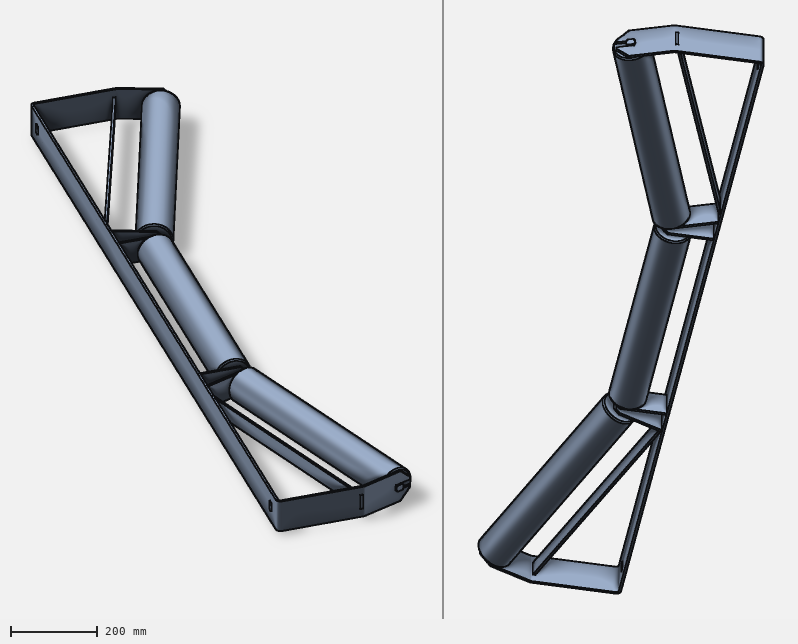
import cadquery as cq
import math

plate_thickness = 6.0

frame_length = 1800.0
frame_height = 81.0
corner_bend_radius = 9.0
end_plate_rise = 210.0
tip_rise = 338.0
tip_chamfer = 27.0
wing_angle = 20.0
mount_hole_width = 18.0
mount_hole_height = 27.0
mount_hole_inset = 50.0

roller_diameter = 88.0
roller_length = 569.0
roller_edge_chamfer = 4.0
shaft_diameter = 22.0
shaft_flat_width = 16.0
shaft_length = 594.0
center_roller_y = 99.0
center_roller_z = -7.0
wing_roller_x = -590.0
wing_roller_y = 207.0
wing_roller_z = -4.3
wing_tilt = 0.7

bracket_leg_x = -295.0
bracket_height = 60.0
bracket_bend_radius = 4.0
bracket_z = -7.0
bracket_tip_chamfer = 15.0
bracket_top_y = 125.0
bracket_top_width = 15.0

brace_height = 38.0
brace_end_y = 205.0
brace_foot_x = -369.0

half_thickness = plate_thickness / 2
wing_slope = math.tan(math.radians(wing_angle))
end_plate_x = half_thickness - frame_length / 2


def bent_plate(points, bend_radius, height):
    """Strip centred on Z = 0 that follows the mid-thickness points, with rounded bends."""
    path = cq.Wire.makePolygon([cq.Vector(x, y, 0) for x, y in points]).fillet(bend_radius)
    section = cq.Plane(origin=path.startPoint(), xDir=(0, 0, 1), normal=path.tangentAt(0))
    return cq.Workplane(section).rect(height, plate_thickness).sweep(cq.Workplane(path))


def tip_envelope(bottom_y, tip_y, height, chamfer):
    """Region over the whole length between bottom_y and tip_y, with both tip corners chamfered."""
    half_height = height / 2
    return (
        cq.Workplane("YZ", origin=(-frame_length / 2, 0, 0))
        .polyline([
            (bottom_y, -half_height),
            (tip_y - chamfer, -half_height),
            (tip_y, chamfer - half_height),
            (tip_y, half_height - chamfer),
            (tip_y - chamfer, half_height),
            (bottom_y, half_height),
        ])
        .close()
        .extrude(frame_length)
    )


def mirrored(body):
    return body.mirror("YZ")


def place_wing(body):
    """Moves a body from the origin, axis along X, onto the left wing roller's axis."""
    return (
        body.rotate((0, 0, 0), (0, 1, 0), wing_tilt)
        .rotate((0, 0, 0), (0, 0, 1), -wing_angle)
        .translate((wing_roller_x, wing_roller_y, wing_roller_z))
    )


def place_center(body):
    return body.translate((0, center_roller_y, center_roller_z))


def centered_cylinder(diameter, length):
    """Cylinder along X, centred on the origin."""
    return cq.Workplane("YZ", origin=(-length / 2, 0, 0)).circle(diameter / 2).extrude(length)


def make_shaft():
    flats = cq.Workplane("XY").box(shaft_length, shaft_diameter, shaft_flat_width)
    round_bar = centered_cylinder(shaft_diameter, shaft_length)
    return round_bar.intersect(flats)


def make_roller():
    """Roller with its flatted shaft ends, centred on the origin with its axis along X."""
    shell = centered_cylinder(roller_diameter, roller_length)
    shell = shell.faces("<X or >X").chamfer(roller_edge_chamfer)
    return shell.union(make_shaft())


def make_notch():
    """Cutter for the shaft seats at both ends, open toward +Y."""
    depth = roller_diameter
    slot = cq.Workplane("XY").box(shaft_length, depth, shaft_flat_width).translate((0, depth / 2, 0))
    return slot.union(make_shaft())


def make_brace():
    """Flat bar from the outer face of the left end plate down to the base."""
    start_x = -frame_length / 2
    slope = math.atan2(brace_end_y - plate_thickness, brace_foot_x - start_x)
    half_rise = half_thickness / math.cos(slope)
    half_run = half_thickness / math.sin(slope)
    return (
        cq.Workplane("XY", origin=(0, 0, -brace_height / 2))
        .polyline([
            (start_x, brace_end_y - half_rise),
            (start_x, brace_end_y + half_rise),
            (brace_foot_x + half_run, plate_thickness),
            (brace_foot_x - half_run, plate_thickness),
        ])
        .close()
        .extrude(brace_height)
    )


def make_bracket():
    """Two-legged left bracket that seats the centre shaft and the inner end of the wing shaft."""
    slant_top_x = bracket_leg_x - bracket_top_width
    foot_y = -plate_thickness
    slant_foot_x = slant_top_x - (bracket_top_y - foot_y) * wing_slope
    bracket = bent_plate([
        (bracket_leg_x, foot_y),
        (bracket_leg_x, bracket_top_y),
        (slant_top_x, bracket_top_y),
        (slant_foot_x, foot_y),
    ], bracket_bend_radius, bracket_height)
    top_y = bracket_top_y + half_thickness
    envelope = tip_envelope(plate_thickness, top_y, bracket_height, bracket_tip_chamfer)
    return bracket.intersect(envelope).translate((0, 0, bracket_z))


def make_frame():
    tip_x = end_plate_x + (tip_rise - end_plate_rise) * wing_slope
    left_points = [
        (tip_x, tip_rise),
        (end_plate_x, end_plate_rise),
        (end_plate_x, half_thickness),
    ]
    right_points = [(-x, y) for x, y in reversed(left_points)]
    frame = bent_plate(left_points + right_points, corner_bend_radius, frame_height)
    frame = frame.intersect(tip_envelope(0, tip_rise, frame_height, tip_chamfer))
    mount_x = frame_length / 2 - mount_hole_inset
    mount_holes = (
        cq.Workplane("XZ")
        .pushPoints([(-mount_x, 0), (mount_x, 0)])
        .slot2D(mount_hole_height, mount_hole_width, 90)
        .extrude(-plate_thickness)
    )
    return frame.cut(mount_holes)


roller = make_roller()
center_roller = place_center(roller)
left_roller = place_wing(roller)

center_notch = place_center(make_notch())
left_notch = place_wing(make_notch())
left_bracket = make_bracket().cut(center_notch).cut(left_notch)

left_brace = make_brace()

frame = make_frame()
for opening in (left_notch, left_brace):
    frame = frame.cut(opening).cut(mirrored(opening))

bodies = [frame, center_roller]
for left_body in (left_roller, left_bracket, left_brace):
    bodies += [left_body, mirrored(left_body)]

result = cq.Compound.makeCompound([body.val() for body in bodies])